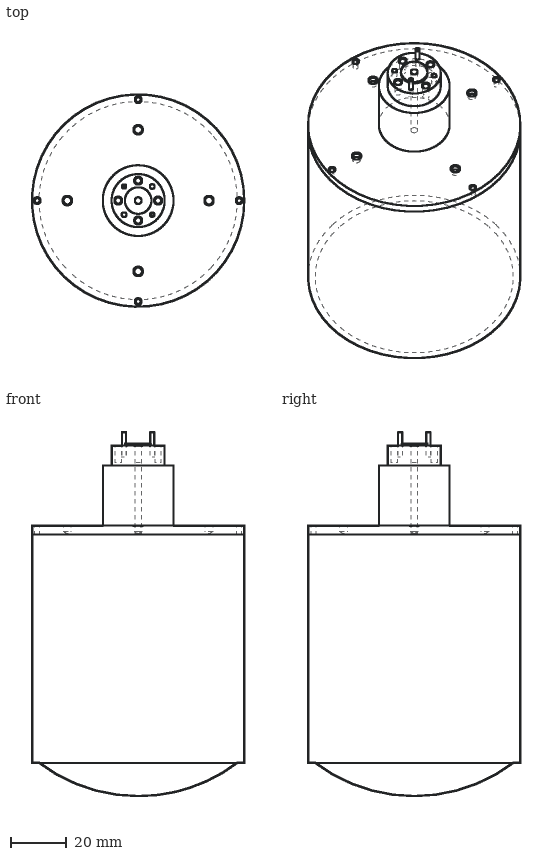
import cadquery as cq
import math

housing_diameter = 76.2
housing_length = 81.9
plate_thickness = 3.175
stem_diameter = 25.4
stem_length = 21.6
flange_diameter = 19.05
flange_length = 7.1
contact_ring_diameter = 9.53
contact_ring_height = 0.75
pin_diameter = 1.56
pin_projection = 4.9
pin_depth = 4.0
pin_chamfer = 0.2

overall_length = 130.63
lens_diameter = 71.1

waveguide_diameter = 2.4
flange_circle_diameter = 14.29
flange_screw_diameter = 2.25
flange_screw_depth = 6.0
alignment_hole_diameter = 1.7

mounting_circle_diameter = 50.8
mounting_hole_diameter = 2.8
mounting_hole_depth = 2.1
drill_point_angle = 118
cover_screw_circle_diameter = 72.4
cover_screw_hole_diameter = 1.8

hole_chamfer = 0.3

plate_top = housing_length + plate_thickness
stem_top = plate_top + stem_length
flange_top = stem_top + flange_length
contact_ring_top = flange_top + contact_ring_height
lens_height = overall_length - flange_top - pin_projection


def cylinder(diameter, bottom, top):
    return cq.Workplane("XY").workplane(offset=bottom).circle(diameter / 2).extrude(top - bottom)


def circle_points(circle_diameter, angles):
    """Points on a circle about the axis, at the given angles in degrees."""
    radius = circle_diameter / 2
    return [
        (radius * math.cos(math.radians(angle)), radius * math.sin(math.radians(angle)))
        for angle in angles
    ]


def plain_holes(points, diameter, top, depth):
    return (
        cq.Workplane("XY").workplane(offset=top).pushPoints(points)
        .circle(diameter / 2).extrude(-depth)
    )


def chamfered_holes(points, diameter, top, depth, point_angle=180):
    """Holes with a 45 degree chamfer at the mouth and a conical floor; 180 degrees gives a flat floor."""
    radius = diameter / 2
    tip_depth = depth + radius / math.tan(math.radians(point_angle / 2))
    outline = [(0, 0), (radius + hole_chamfer, 0), (radius, -hole_chamfer), (radius, -depth), (0, -tip_depth)]
    hole = cq.Workplane("XZ").polyline(outline).close().revolve(360, (0, 0, 0), (0, 1, 0)).val()
    return cq.Workplane("XY").newObject([hole.translate(cq.Vector(x, y, top)) for x, y in points])


quarter_angles = [0, 90, 180, 270]
pin_points = circle_points(flange_circle_diameter, [135, 315])
alignment_points = circle_points(flange_circle_diameter, [45, 225])


def make_housing():
    return cylinder(housing_diameter, 0, housing_length)


def make_lens():
    radius = lens_diameter / 2
    sphere_radius = (radius**2 + lens_height**2) / (2 * lens_height)
    half_angle = math.asin(radius / sphere_radius) / 2
    arc_middle = (
        sphere_radius * math.sin(half_angle),
        sphere_radius * (1 - math.cos(half_angle)) - lens_height,
    )
    return (
        cq.Workplane("XZ").lineTo(radius, 0)
        .threePointArc(arc_middle, (0, -lens_height)).close()
        .revolve(360, (0, 0, 0), (0, 1, 0))
    )


def make_feed():
    """Cover plate, stem and waveguide flange in one piece."""
    feed = (
        cylinder(housing_diameter, housing_length, plate_top)
        .union(cylinder(stem_diameter, plate_top, stem_top))
        .union(cylinder(flange_diameter, stem_top, flange_top))
        .union(cylinder(contact_ring_diameter, flange_top, contact_ring_top))
    )
    mounting_points = circle_points(mounting_circle_diameter, quarter_angles)
    cover_screw_points = circle_points(cover_screw_circle_diameter, quarter_angles)
    flange_screw_points = circle_points(flange_circle_diameter, quarter_angles)
    cutters = [
        cylinder(waveguide_diameter, housing_length, contact_ring_top),
        chamfered_holes(
            mounting_points, mounting_hole_diameter, plate_top, mounting_hole_depth, drill_point_angle
        ),
        chamfered_holes(cover_screw_points, cover_screw_hole_diameter, plate_top, plate_thickness),
        chamfered_holes(flange_screw_points, flange_screw_diameter, flange_top, flange_screw_depth),
        plain_holes(alignment_points, alignment_hole_diameter, flange_top, pin_depth),
        plain_holes(pin_points, pin_diameter, flange_top, pin_depth),
    ]
    for cutter in cutters:
        for tool in cutter.vals():
            feed = feed.cut(cq.Workplane(tool))
    return feed


def make_pin(point):
    pin = cylinder(pin_diameter, flange_top - pin_depth, flange_top + pin_projection)
    return pin.faces(">Z").chamfer(pin_chamfer).translate((*point, 0))


housing = make_housing()
lens = make_lens()
feed = make_feed()
alignment_pins = [make_pin(point) for point in pin_points]

result = cq.Compound.makeCompound(
    [housing.val(), lens.val(), feed.val(), *[pin.val() for pin in alignment_pins]]
)